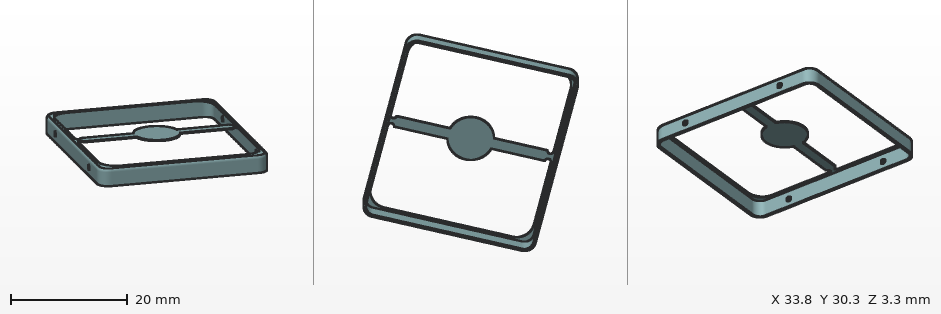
import cadquery as cq

length = 33.8
width = 30.3
height = 3.3
wall = 0.4
outer_corner_radius = 2.0
inner_corner_radius = outer_corner_radius - wall
rim_radius = 0.8

sheet_thickness = 0.25
sheet_corner_radius = 3.0
bar_width = 2.0
disc_diameter = 8.0
notch_radius = 0.5

hole_diameter = 0.9
hole_spacing = 20.0
hole_height = 1.5

cavity_length = length - 2 * wall
cavity_width = width - 2 * wall
opening_length = length - 2 * rim_radius
opening_width = width - 2 * rim_radius
sheet_bottom = height - sheet_thickness


def rounded_block(size_x, size_y, size_z, corner_radius):
    """Block centred on Z with rounded vertical edges."""
    block = cq.Workplane("XY").rect(size_x, size_y).extrude(size_z)
    return block.edges("|Z").fillet(corner_radius)


def make_frame():
    """Rounded shell with an opening in its top sheet smaller than the cavity below."""
    body = rounded_block(length, width, height, outer_corner_radius)
    body = body.faces(">Z").edges().fillet(rim_radius)
    cavity = rounded_block(cavity_length, cavity_width, sheet_bottom, inner_corner_radius)
    opening = rounded_block(opening_length, opening_width, height, sheet_corner_radius)
    return body.cut(cavity).cut(opening)


def make_crossbar():
    """Central disc on a bar that is necked by round notches at both ends."""
    sheet = cq.Workplane("XY").workplane(offset=sheet_bottom)
    bar = sheet.rect(bar_width, opening_width).extrude(sheet_thickness)
    disc = sheet.circle(disc_diameter / 2).extrude(sheet_thickness)
    notch_y = opening_width / 2 - notch_radius
    notches = (
        sheet.rect(bar_width, 2 * notch_y, forConstruction=True)
        .vertices()
        .circle(notch_radius)
        .extrude(sheet_thickness)
    )
    return bar.union(disc).cut(notches)


def make_cross_holes():
    """Pins that cut the holes in both long walls."""
    return (
        cq.Workplane("XZ")
        .pushPoints([(-hole_spacing / 2, hole_height), (hole_spacing / 2, hole_height)])
        .circle(hole_diameter / 2)
        .extrude(width, both=True)
    )


result = make_frame().union(make_crossbar()).cut(make_cross_holes())